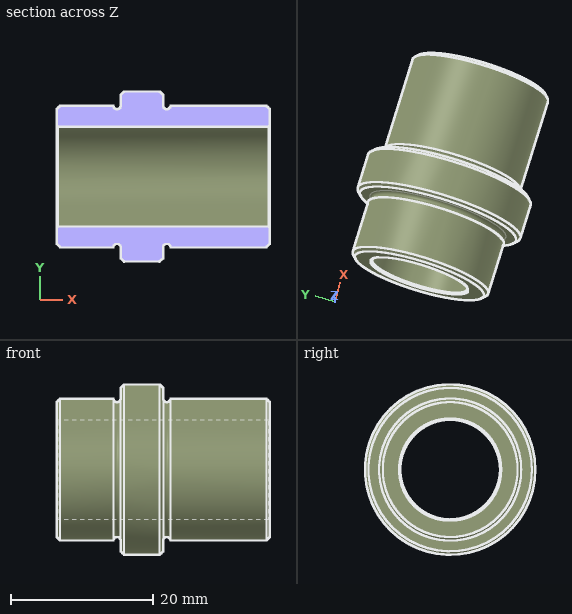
import cadquery as cq

LENGTH = 30.0
BODY_RADIUS = 20.0 / 2
BORE_RADIUS = 14.0 / 2
EDGE_CHAMFER = 0.5
BORE_CHAMFER = 0.2

COLLAR_START = 9.0
COLLAR_WIDTH = 6.0
COLLAR_END = COLLAR_START + COLLAR_WIDTH
COLLAR_RADIUS = 24.0 / 2

GROOVE_RADIUS = 0.5


def x_cylinder(start, length, radius):
    """Solid cylinder along X, beginning at X = start."""
    return cq.Workplane("YZ", origin=(start, 0, 0)).circle(radius).extrude(length)


def chamfered_cylinder(start, length, radius):
    """Cylinder along X with both end edges chamfered."""
    return x_cylinder(start, length, radius).edges("%CIRCLE").chamfer(EDGE_CHAMFER)


def relief_groove(center_x):
    """Ring of round section, centred on the surface of the body."""
    return (
        cq.Workplane("XY")
        .center(center_x, BODY_RADIUS)
        .circle(GROOVE_RADIUS)
        .revolve(360, (0, -BODY_RADIUS), (1, -BODY_RADIUS))
    )


body = chamfered_cylinder(0, LENGTH, BODY_RADIUS)
for groove_x in (COLLAR_START - GROOVE_RADIUS, COLLAR_END + GROOVE_RADIUS):
    body = body.cut(relief_groove(groove_x))

collar = chamfered_cylinder(COLLAR_START, COLLAR_WIDTH, COLLAR_RADIUS)
sleeve = body.union(collar).cut(x_cylinder(0, LENGTH, BORE_RADIUS))

result = sleeve.faces("<X or >X").edges(cq.selectors.RadiusNthSelector(0)).chamfer(BORE_CHAMFER)